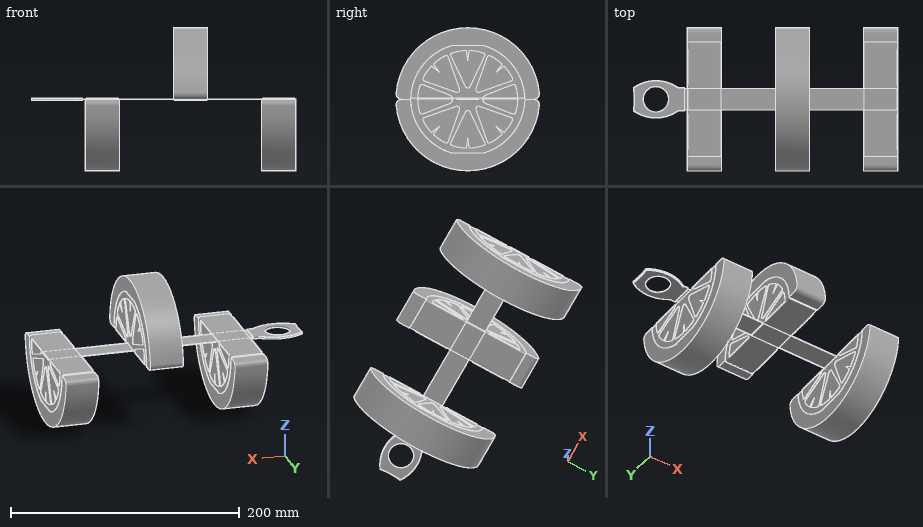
import cadquery as cq
import math


TOTAL_LENGTH = 231.5

SLICE_WIDTH = 30.0
SLICE_PITCH = 77.0
RIND_RADIUS = 63.0
RIND_CENTRE_Z = 0.35
RIND_CORNER_RADIUS = 4.9
PULP_RADIUS = 50.0
PULP_RISE = 1.05
PULP_DEPTH = 48.2
PULP_INSET = 0.35
PULP_EDGE_RADIUS = 1.6

SEGMENT_RADIUS = 43.8
SEGMENT_TOP_Z = 0.2
SEGMENT_CORNER_RADIUS = 1.9
LOWER_SEGMENT_DIRECTIONS = (-45, -90, -135)
LOWER_SEGMENT_APEX = 7.9
LOWER_SEGMENT_HALF_ANGLE = 25.5
LOWER_SEGMENT_TIP_RADIUS = 2.3
END_SEGMENT_DIRECTIONS = (0, 180)
END_SEGMENT_APEX = 3.5
END_SEGMENT_HALF_ANGLE = 21.2
END_SEGMENT_TIP_RADIUS = 5.3
NOTCH_WIDTH = 2.3
NOTCH_TIP_RADIUS = 35.0

STRAP_WIDTH = 19.0
STRAP_THICKNESS = 0.7
STRAP_OVERHANG = 0.2

TAB_LENGTH = 44.7
TAB_THICKNESS = 2.0
TAB_NECK_WIDTH = 20.4
TAB_WIDTH = 32.9
TAB_EYE_HALF_LENGTH = 19.7
TAB_END_HOLLOW = 0.7
TAB_HOLE_DIAMETER = 22.0
TAB_EDGE_RADIUS = 0.35

STRAP_END_X = SLICE_PITCH + SLICE_WIDTH / 2 + STRAP_OVERHANG
TAB_START_X = STRAP_END_X - TOTAL_LENGTH
STRAP_START_X = TAB_START_X + TAB_LENGTH


def disc(radius, centre_z, width):
    """A disc whose axis is parallel to X, centred on X = 0."""
    return cq.Workplane("YZ").center(0, centre_z).circle(radius).extrude(width / 2, both=True)


def block_below(top_z, width):
    """A block as wide as given along X, holding everything of a slice below top_z."""
    size = 2 * RIND_RADIUS
    return cq.Workplane("XY").workplane(offset=top_z).rect(width, size).extrude(-size)


def make_pulp_blank(width):
    """Half disc below PULP_RISE, cut off flat at its far side."""
    block = (
        cq.Workplane("XY")
        .workplane(offset=PULP_RISE)
        .rect(width, 2 * PULP_RADIUS)
        .extrude(-PULP_DEPTH)
    )
    return disc(PULP_RADIUS, PULP_RISE, width).intersect(block)


def make_strap():
    length = STRAP_END_X - STRAP_START_X
    middle_x = (STRAP_START_X + STRAP_END_X) / 2
    return cq.Workplane("XY").box(length, STRAP_WIDTH, STRAP_THICKNESS).translate((middle_x, 0, 0))


def make_tab():
    eye_x = TAB_START_X + TAB_EYE_HALF_LENGTH
    eye_end_x = eye_x + TAB_EYE_HALF_LENGTH
    half_neck = TAB_NECK_WIDTH / 2
    half_width = TAB_WIDTH / 2
    return (
        cq.Workplane("XY")
        .workplane(offset=-TAB_THICKNESS / 2)
        .moveTo(TAB_START_X, half_neck)
        .threePointArc((eye_x, half_width), (eye_end_x, half_neck))
        .lineTo(STRAP_START_X, half_neck)
        .lineTo(STRAP_START_X, -half_neck)
        .lineTo(eye_end_x, -half_neck)
        .threePointArc((eye_x, -half_width), (TAB_START_X, -half_neck))
        .threePointArc((TAB_START_X + TAB_END_HOLLOW, 0), (TAB_START_X, half_neck))
        .close()
        .extrude(TAB_THICKNESS)
        .moveTo(eye_x, 0)
        .circle(TAB_HOLE_DIAMETER / 2)
        .cutThruAll()
        .faces("|Z")
        .edges("not >X")
        .fillet(TAB_EDGE_RADIUS)
    )


def make_rind():
    """Half ring below Z = 0 with rounded corners and a seat for the pulp."""
    return (
        disc(RIND_RADIUS, RIND_CENTRE_Z, SLICE_WIDTH)
        .intersect(block_below(0, SLICE_WIDTH))
        .faces(">Z")
        .edges("|X")
        .fillet(RIND_CORNER_RADIUS)
        .cut(make_pulp_blank(SLICE_WIDTH))
    )


def make_segment(direction, apex, half_angle, tip_radius, notched):
    """A wedge across the slice, pointing away from the pulp centre in the YZ plane."""
    reach = 2 * SEGMENT_RADIUS
    half_reach = (reach - apex) * math.tan(math.radians(half_angle))
    segment = (
        cq.Workplane("YZ")
        .polyline([(apex, 0), (reach, half_reach), (reach, -half_reach)])
        .close()
        .extrude(SLICE_WIDTH / 2, both=True)
        .edges("|X and <Y")
        .fillet(tip_radius)
        .intersect(disc(SEGMENT_RADIUS, 0, SLICE_WIDTH))
    )
    segment = segment.edges("|X and (>Z or <Z)").fillet(SEGMENT_CORNER_RADIUS)
    if notched:
        notch_slope = NOTCH_WIDTH / 2 / (SEGMENT_RADIUS - NOTCH_TIP_RADIUS)
        half_mouth = (reach - NOTCH_TIP_RADIUS) * notch_slope
        notch = (
            cq.Workplane("YZ")
            .polyline([(NOTCH_TIP_RADIUS, 0), (reach, half_mouth), (reach, -half_mouth)])
            .close()
            .extrude(SLICE_WIDTH / 2, both=True)
        )
        segment = segment.cut(notch)
    return segment.rotate((0, 0, 0), (1, 0, 0), direction).translate((0, 0, PULP_RISE))


def make_pulp(strap):
    """Half disc with raised segments on both faces and a slot for the strap."""
    core_width = SLICE_WIDTH - 2 * PULP_INSET
    rounded_block = block_below(PULP_RISE, core_width).edges("|Y and >Z").fillet(PULP_EDGE_RADIUS)
    pulp = make_pulp_blank(core_width).intersect(rounded_block)
    for direction in LOWER_SEGMENT_DIRECTIONS:
        pulp = pulp.union(
            make_segment(
                direction, LOWER_SEGMENT_APEX, LOWER_SEGMENT_HALF_ANGLE, LOWER_SEGMENT_TIP_RADIUS, True
            )
        )
    for direction in END_SEGMENT_DIRECTIONS:
        segment = make_segment(
            direction, END_SEGMENT_APEX, END_SEGMENT_HALF_ANGLE, END_SEGMENT_TIP_RADIUS, False
        )
        pulp = pulp.union(segment.intersect(block_below(SEGMENT_TOP_Z, SLICE_WIDTH)))
    return pulp.cut(strap)


def place(body, index):
    """Moves a slice body to its place; the middle slice is turned upside down."""
    if index == 0:
        body = body.rotate((0, 0, 0), (1, 0, 0), 180)
    return body.translate((index * SLICE_PITCH, 0, 0))


strap = make_strap()
tab = make_tab()
rind = make_rind()
pulp = make_pulp(strap)

rinds = []
pulps = []
for index in (-1, 0, 1):
    rinds.append(place(rind, index).val())
    pulps.append(place(pulp, index).val())

result = cq.Compound.makeCompound([strap.val(), tab.val(), *rinds, *pulps])